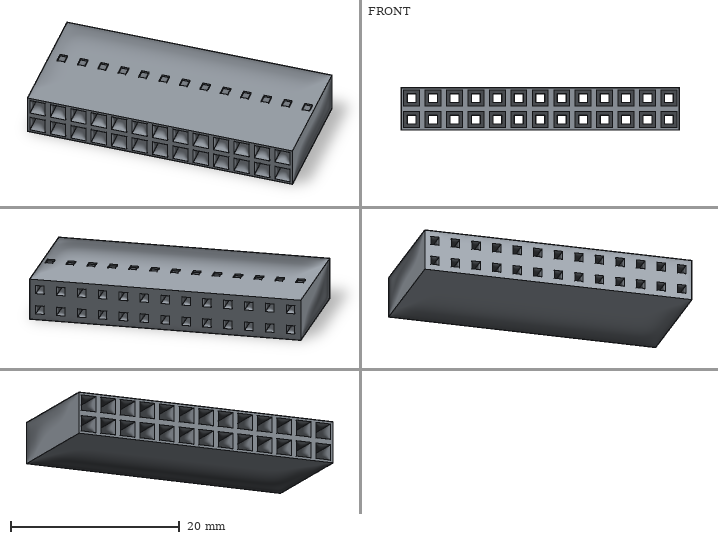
import cadquery as cq

length = 33.0
depth = 15.25
height = 5.05
columns = 13
rows = 2
pitch = 2.55

socket_side = 1.88
socket_depth = 9.9
pin_hole_side = 1.02

window_width = 0.92
window_length = 1.22
window_depth = 0.215
window_offset_x = 0.33
window_y = 0.9

front_y = -depth / 2
top_z = height / 2


def cavity_bars(side, bar_length):
    """Square bars running back from the front face, one at every cavity."""
    return (
        cq.Workplane("XZ", origin=(0, front_y, 0))
        .rarray(pitch, pitch, columns, rows)
        .rect(side, side)
        .extrude(-bar_length)
    )


def latch_windows():
    """Row of rectangular blocks reaching down from the top face."""
    return (
        cq.Workplane("XY", origin=(window_offset_x, window_y, top_z))
        .rarray(pitch, pitch, columns, 1)
        .rect(window_width, window_length)
        .extrude(-window_depth)
    )


housing = cq.Workplane("XY").box(length, depth, height)
sockets = cavity_bars(socket_side, socket_depth)
pin_holes = cavity_bars(pin_hole_side, depth)

result = housing.cut(sockets).cut(pin_holes).cut(latch_windows())